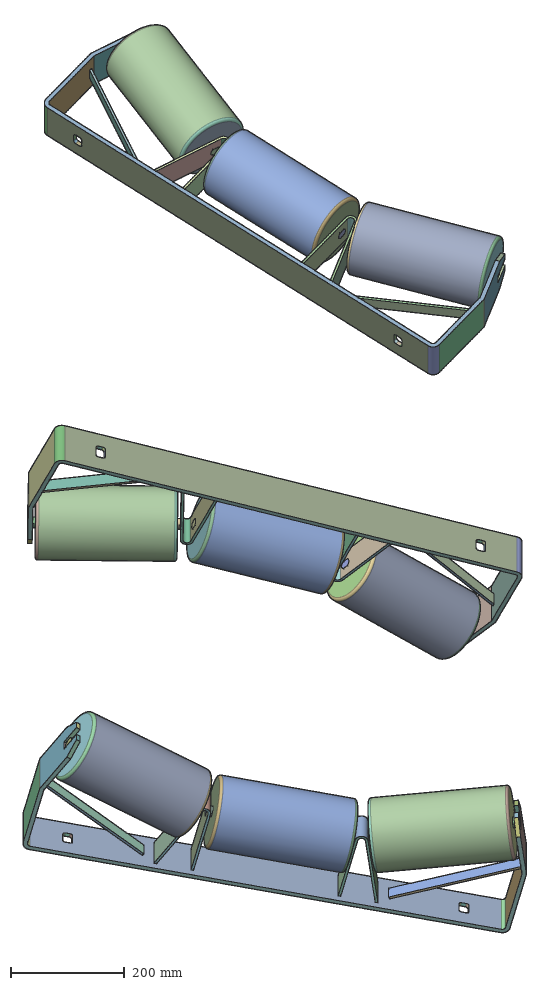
import cadquery as cq
import math


TILT = 20.0

FRAME_LENGTH = 880.0
FRAME_THICKNESS = 8.0
STRIP_WIDTH = 81.0
CORNER_RADIUS = 14.0
UPRIGHT_HEIGHT = 141.0
ARM_LENGTH = 117.0
ARM_TIP_WIDTH = 47.0
ARM_TAPER_LENGTH = 31.0
ARM_SLOT_WIDTH = 18.5
MOUNT_HOLE_SPACING = 716.0
MOUNT_HOLE_WIDTH = 18.0
MOUNT_HOLE_HEIGHT = 25.0
MOUNT_HOLE_CORNER_RADIUS = 4.0

ROLLER_DIAMETER = 133.0
ROLLER_LENGTH = 250.0
ROLLER_EDGE_RADIUS = 5.0
SHAFT_DIAMETER = 19.0
SHAFT_FLAT_WIDTH = 16.0
SHAFT_SHOULDER = 3.0
MIDDLE_ROLLER_Y = 125.0
SIDE_ROLLER_X = 280.0
SIDE_ROLLER_Y = 178.0

BRACKET_THICKNESS = 4.7
BRACKET_WIDTH = 55.0
BRACKET_CLEARANCE = 5.7
BRACKET_BEND_RADIUS = 11.0

BRACE_ANGLE = 30.0
BRACE_THICKNESS = 4.7
BRACE_WIDTH = 24.0
BRACE_TOP_Y = 131.0

SIN_TILT = math.sin(math.radians(TILT))
COS_TILT = math.cos(math.radians(TILT))
INNER_X = FRAME_LENGTH / 2 - FRAME_THICKNESS
LEG_DISTANCE = ROLLER_LENGTH / 2 + BRACKET_CLEARANCE
SHAFT_LENGTH = 2 * (LEG_DISTANCE + BRACKET_THICKNESS)
SIDES = (-1, 1)


def mirrored_to_right(left_body):
    return left_body.mirror("YZ")


def side_roller_placed(body):
    """Move a body from the origin to the left roller's place, tilted with it."""
    return body.rotate((0, 0, 0), (0, 0, 1), -TILT).translate((-SIDE_ROLLER_X, SIDE_ROLLER_Y, 0))


def make_rod(diameter, length):
    """Plain cylinder along X, centred on the origin."""
    return cq.Workplane("YZ", origin=(-length / 2, 0, 0)).circle(diameter / 2).extrude(length)


def make_shaft():
    """Round shaft with two flats, facing +Z and -Z, at each end."""
    flat_bar = cq.Workplane("XY").box(SHAFT_LENGTH, SHAFT_DIAMETER, SHAFT_FLAT_WIDTH)
    flattened_rod = make_rod(SHAFT_DIAMETER, SHAFT_LENGTH).intersect(flat_bar)
    return flattened_rod.union(make_rod(SHAFT_DIAMETER, ROLLER_LENGTH + 2 * SHAFT_SHOULDER))


def make_roller():
    barrel = (
        make_rod(ROLLER_DIAMETER, ROLLER_LENGTH)
        .faces("<X or >X").edges().fillet(ROLLER_EDGE_RADIUS)
    )
    return barrel.union(make_shaft())


def make_channel():
    """Base and the two uprights, with rounded corners."""
    outer = (
        cq.Workplane("XY")
        .box(FRAME_LENGTH, UPRIGHT_HEIGHT, STRIP_WIDTH, centered=(True, False, True))
        .edges("|Z and <Y").fillet(CORNER_RADIUS)
    )
    inner = (
        cq.Workplane("XY", origin=(0, FRAME_THICKNESS, 0))
        .box(2 * INNER_X, UPRIGHT_HEIGHT, STRIP_WIDTH, centered=(True, False, True))
        .edges("|Z and <Y").fillet(CORNER_RADIUS - FRAME_THICKNESS)
    )
    return outer.cut(inner)


def make_left_bend():
    """Wedge that joins the left upright to its arm, rounded outside and sharp inside."""
    half_tilt = math.radians(TILT / 2)
    return (
        cq.Workplane("XY", origin=(-INNER_X, UPRIGHT_HEIGHT, -STRIP_WIDTH / 2))
        .lineTo(-FRAME_THICKNESS, 0)
        .threePointArc(
            (-FRAME_THICKNESS * math.cos(half_tilt), FRAME_THICKNESS * math.sin(half_tilt)),
            (-FRAME_THICKNESS * COS_TILT, FRAME_THICKNESS * SIN_TILT),
        )
        .close()
        .extrude(STRIP_WIDTH)
    )


def make_left_arm():
    """Tapered arm with an open square-ended slot, on whose floor the roller's shaft rests."""
    inner_face = cq.Plane(
        origin=(-INNER_X, UPRIGHT_HEIGHT, 0),
        xDir=(SIN_TILT, COS_TILT, 0),
        normal=(-COS_TILT, SIN_TILT, 0),
    )
    shaft_distance = (
        (INNER_X - SIDE_ROLLER_X) * SIN_TILT + (SIDE_ROLLER_Y - UPRIGHT_HEIGHT) * COS_TILT
    )
    taper_start = ARM_LENGTH - ARM_TAPER_LENGTH
    plate = (
        cq.Workplane(inner_face)
        .polyline([
            (0, -STRIP_WIDTH / 2),
            (taper_start, -STRIP_WIDTH / 2),
            (ARM_LENGTH, -ARM_TIP_WIDTH / 2),
            (ARM_LENGTH, ARM_TIP_WIDTH / 2),
            (taper_start, STRIP_WIDTH / 2),
            (0, STRIP_WIDTH / 2),
        ])
        .close()
        .extrude(FRAME_THICKNESS)
    )
    slot_floor = shaft_distance - SHAFT_DIAMETER / 2
    slot = (
        cq.Workplane(inner_face)
        .center((slot_floor + ARM_LENGTH) / 2, 0)
        .rect(ARM_LENGTH - slot_floor, ARM_SLOT_WIDTH)
        .extrude(FRAME_THICKNESS)
    )
    return plate.cut(slot)


def make_frame():
    left_end = make_left_bend().union(make_left_arm())
    mount_holes = (
        cq.Workplane("XZ")
        .pushPoints([(side * MOUNT_HOLE_SPACING / 2, 0) for side in SIDES])
        .rect(MOUNT_HOLE_WIDTH, MOUNT_HOLE_HEIGHT)
        .extrude(-FRAME_THICKNESS)
        .edges("|Y").fillet(MOUNT_HOLE_CORNER_RADIUS)
    )
    return make_channel().union(left_end).union(mirrored_to_right(left_end)).cut(mount_holes)


def make_left_bracket():
    face_x = -SIDE_ROLLER_X + LEG_DISTANCE * COS_TILT
    face_y = SIDE_ROLLER_Y - LEG_DISTANCE * SIN_TILT
    bend_x = -LEG_DISTANCE - BRACKET_BEND_RADIUS
    bend_y = face_y + (bend_x - BRACKET_BEND_RADIUS / COS_TILT - face_x) * COS_TILT / SIN_TILT

    def leg_outline(radius):
        """Shape enclosed by the bracket at the given radius from the bend's centre."""
        tangent_x = bend_x - radius * COS_TILT
        tangent_y = bend_y + radius * SIN_TILT
        foot_x = tangent_x - (tangent_y - FRAME_THICKNESS) * SIN_TILT / COS_TILT
        return (
            cq.Workplane("XY", origin=(0, 0, -BRACKET_WIDTH / 2))
            .moveTo(foot_x, FRAME_THICKNESS)
            .lineTo(tangent_x, tangent_y)
            .threePointArc((bend_x, bend_y + radius), (bend_x + radius, bend_y))
            .lineTo(bend_x + radius, FRAME_THICKNESS)
            .close()
            .extrude(BRACKET_WIDTH)
        )

    strip = leg_outline(BRACKET_BEND_RADIUS).cut(leg_outline(BRACKET_BEND_RADIUS - BRACKET_THICKNESS))
    middle_shaft = make_shaft().translate((0, MIDDLE_ROLLER_Y, 0))
    return strip.cut(middle_shaft).cut(side_roller_placed(make_shaft()))


def make_left_brace():
    slope = math.radians(BRACE_ANGLE)
    half_rise = BRACE_THICKNESS / 2 / math.cos(slope)
    drop = BRACE_TOP_Y - FRAME_THICKNESS - BRACE_THICKNESS / 2 * math.cos(slope)
    length = drop / math.sin(slope)
    end_x = -INNER_X + length * math.cos(slope)
    end_y = BRACE_TOP_Y - drop
    corner_dx = BRACE_THICKNESS / 2 * math.sin(slope)
    corner_dy = BRACE_THICKNESS / 2 * math.cos(slope)
    return (
        cq.Workplane("XY", origin=(0, 0, -BRACE_WIDTH / 2))
        .polyline([
            (-INNER_X, BRACE_TOP_Y - half_rise),
            (end_x - corner_dx, end_y - corner_dy),
            (end_x + corner_dx, end_y + corner_dy),
            (-INNER_X, BRACE_TOP_Y + half_rise),
        ])
        .close()
        .extrude(BRACE_WIDTH)
    )


def left_and_right(left_body):
    return [left_body.val(), mirrored_to_right(left_body).val()]


frame = make_frame()
middle_roller = make_roller().translate((0, MIDDLE_ROLLER_Y, 0))
side_rollers = left_and_right(side_roller_placed(make_roller()))
brackets = left_and_right(make_left_bracket())
braces = left_and_right(make_left_brace())

result = cq.Compound.makeCompound([
    frame.val(),
    middle_roller.val(),
    *side_rollers,
    *brackets,
    *braces,
])